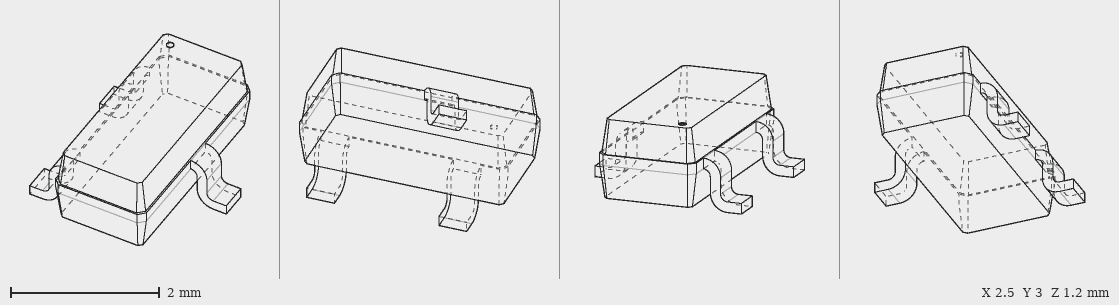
import cadquery as cq

BODY_WIDTH = 1.4
BODY_LENGTH = 3.0
BODY_BOTTOM = 0.1
BODY_TOP = 1.2
CORNER_CHAMFER = 0.09
DRAFT_ANGLE = 8.0
LEDGE = 0.025

LEAD_SPAN = 2.5
LEAD_WIDTH = 0.4
LEAD_THICKNESS = 0.15
LEAD_TOP = 0.725
INNER_RADIUS = 0.1
OUTER_RADIUS = INNER_RADIUS + LEAD_THICKNESS
LEAD_OFFSET = 0.95
LEAD_EMBED = 0.06

BAND_TOP = LEAD_TOP
BAND_BOTTOM = BAND_TOP - LEAD_THICKNESS

MARK_X = -0.43
MARK_Y = 1.23
MARK_RADIUS = 0.05
MARK_DEPTH = 0.01


def chamfered_block(inset, base_z, height, taper=0):
    """Corner-chamfered block; a negative height extrudes downward."""
    outline = cq.Sketch().rect(BODY_WIDTH - 2 * inset, BODY_LENGTH - 2 * inset)
    outline = outline.vertices().chamfer(CORNER_CHAMFER)
    return cq.Workplane("XY", origin=(0, 0, base_z)).placeSketch(outline).extrude(height, taper=taper)


def make_body():
    band = chamfered_block(0, BAND_BOTTOM, BAND_TOP - BAND_BOTTOM)
    upper = chamfered_block(LEDGE, BAND_TOP, BODY_TOP - BAND_TOP, DRAFT_ANGLE)
    lower = chamfered_block(0, BAND_BOTTOM, BODY_BOTTOM - BAND_BOTTOM, DRAFT_ANGLE)
    return band.union(upper).union(lower)


def make_lead(y_center):
    """S-shaped lead on the +X side: shoulder, shank and foot."""
    shoulder_x = BODY_WIDTH / 2
    root_x = shoulder_x - LEAD_EMBED
    shank_inner_x = shoulder_x + INNER_RADIUS
    shank_outer_x = shoulder_x + OUTER_RADIUS
    foot_bend_x = shank_inner_x + OUTER_RADIUS
    toe_x = LEAD_SPAN / 2
    shoulder_bend_z = LEAD_TOP - OUTER_RADIUS
    return (
        cq.Workplane("XZ", origin=(0, y_center + LEAD_WIDTH / 2, 0))
        .moveTo(root_x, LEAD_TOP)
        .lineTo(shoulder_x, LEAD_TOP)
        .radiusArc((shank_outer_x, shoulder_bend_z), OUTER_RADIUS)
        .lineTo(shank_outer_x, OUTER_RADIUS)
        .radiusArc((foot_bend_x, LEAD_THICKNESS), -INNER_RADIUS)
        .lineTo(toe_x, LEAD_THICKNESS)
        .lineTo(toe_x, 0)
        .lineTo(foot_bend_x, 0)
        .radiusArc((shank_inner_x, OUTER_RADIUS), OUTER_RADIUS)
        .lineTo(shank_inner_x, shoulder_bend_z)
        .radiusArc((shoulder_x, LEAD_TOP - LEAD_THICKNESS), -INNER_RADIUS)
        .lineTo(root_x, LEAD_TOP - LEAD_THICKNESS)
        .close()
        .extrude(LEAD_WIDTH)
    )


def make_pin_mark():
    return (
        cq.Workplane("XY", origin=(MARK_X, MARK_Y, BODY_TOP))
        .circle(MARK_RADIUS)
        .extrude(-MARK_DEPTH)
    )


result = make_body().cut(make_pin_mark())
result = result.union(make_lead(0))
for lead_y in (-LEAD_OFFSET, LEAD_OFFSET):
    result = result.union(make_lead(lead_y).mirror("YZ"))